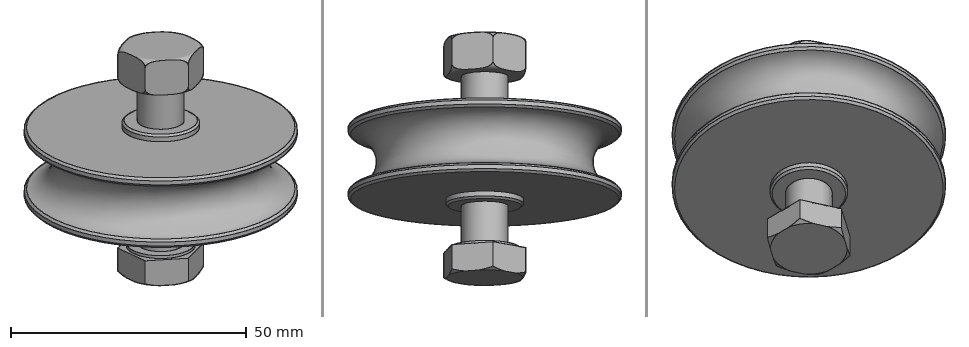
import cadquery as cq
import math

wheel_radius = 29
wheel_width = 15.95
groove_floor_radius = 23.0
groove_width = 12.05
rim_chamfer = 0.5

hub_radius = 8.25
hub_width = 19.0
hub_chamfer = 0.45

shank_radius = 5.0
hex_flats = 16.0
hex_corner_radius = hex_flats / math.sqrt(3)
head_height = 8.0
head_fillet = 1.5
head_seat_z = 18.55
collar_radius = 7.3
collar_height = 0.65
collar_top_z = -18.5
nut_height = 5.9
nut_chamfer_width = 1.1
nut_chamfer_height = 0.65

nut_top_z = collar_top_z - collar_height
nut_bottom_z = nut_top_z - nut_height


def cylinder(radius, bottom_z, height):
    return cq.Workplane("XY").workplane(offset=bottom_z).circle(radius).extrude(height)


def hex_prism(bottom_z, height):
    plane = cq.Workplane("XY").workplane(offset=bottom_z)
    return plane.polygon(6, 2 * hex_corner_radius).extrude(height)


def make_wheel():
    """Disc with a round rope groove between two rims chamfered on both edges."""
    half_width = wheel_width / 2
    rim_inner_radius = wheel_radius - rim_chamfer
    groove_half_width = groove_width / 2
    profile = (
        cq.Workplane("XZ")
        .moveTo(0, -half_width)
        .lineTo(rim_inner_radius, -half_width)
        .lineTo(wheel_radius, -half_width + rim_chamfer)
        .lineTo(wheel_radius, -groove_half_width - rim_chamfer)
        .lineTo(rim_inner_radius, -groove_half_width)
        .threePointArc((groove_floor_radius, 0), (rim_inner_radius, groove_half_width))
        .lineTo(wheel_radius, groove_half_width + rim_chamfer)
        .lineTo(wheel_radius, half_width - rim_chamfer)
        .lineTo(rim_inner_radius, half_width)
        .lineTo(0, half_width)
        .close()
    )
    return profile.revolve(360, (0, 0), (0, 1))


def make_hub():
    hub = cylinder(hub_radius, -hub_width / 2, hub_width)
    return hub.faces("|Z").edges().chamfer(hub_chamfer)


def make_head():
    """Hexagonal head with both ends rounded off at the corners."""
    rounding = cylinder(hex_corner_radius, head_seat_z, head_height)
    rounding = rounding.faces("|Z").edges().fillet(head_fillet)
    return hex_prism(head_seat_z, head_height).intersect(rounding)


def make_nut():
    """Hexagonal nut with a conical chamfer below and a round collar above."""
    envelope = cylinder(hex_corner_radius, nut_bottom_z, nut_height)
    envelope = envelope.faces("<Z").edges().chamfer(nut_chamfer_height, nut_chamfer_width)
    nut = hex_prism(nut_bottom_z, nut_height).intersect(envelope)
    return nut.union(cylinder(collar_radius, nut_top_z, collar_height))


shank = cylinder(shank_radius, nut_top_z, head_seat_z - nut_top_z)
result = make_wheel().union(make_hub()).union(shank).union(make_head()).union(make_nut())